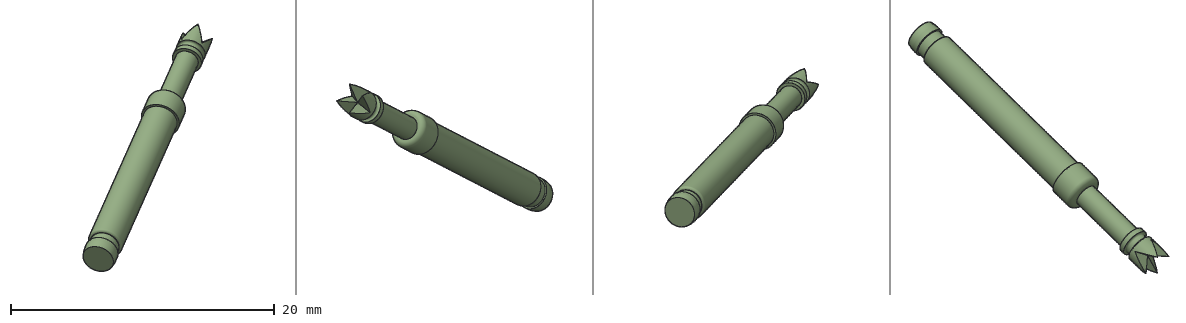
import cadquery as cq
import math

TOTAL_LENGTH = 27.3

FLANGE_RADIUS = 1.5
BARREL_RADIUS = 1.35
TAIL_RADIUS = 1.28
TAIL_END_RADIUS = 1.2
TAIL_NECK_RADIUS = 1.15
HEAD_RADIUS = 1.15
PLUNGER_RADIUS = 0.9

TAIL_TAPER_LENGTH = 0.6
TAIL_LENGTH = 1.0
TAIL_NECK_LENGTH = 0.76

CROWN_LENGTH = 2.0
HEAD_GROOVE_WIDTH = 0.6
COLLAR_LENGTH = 0.45
PLUNGER_EXPOSED_LENGTH = 5.25
FLANGE_LENGTH = 2.05

FLANGE_FILLET = 0.4
BARREL_END_FILLET = 0.22
GROOVE_ROOT_FILLET = 0.15

NOTCH_CENTER_DEPTH = 1.15
NOTCH_RIM_DEPTH = 1.67
TOOTH_COUNT = 4

NECK_END = TAIL_LENGTH + TAIL_NECK_LENGTH
CROWN_BASE = TOTAL_LENGTH - CROWN_LENGTH
COLLAR_TOP = CROWN_BASE - HEAD_GROOVE_WIDTH
COLLAR_BASE = COLLAR_TOP - COLLAR_LENGTH
FLANGE_TOP = COLLAR_BASE - PLUNGER_EXPOSED_LENGTH
FLANGE_BASE = FLANGE_TOP - FLANGE_LENGTH


def revolve_about_axis(outline):
    """Spin a closed half-outline (radius, Y) around the Y axis."""
    return outline.close().revolve(360, (0, 0, 0), (0, 1, 0))


def make_barrel():
    """Tail knob with a gently curved end, neck, barrel and rounded flange."""
    taper_drop = TAIL_RADIUS - TAIL_END_RADIUS
    taper_arc_radius = (TAIL_TAPER_LENGTH**2 + taper_drop**2) / (2 * taper_drop)
    outline = (
        cq.Workplane("XY")
        .lineTo(TAIL_END_RADIUS, 0)
        .radiusArc((TAIL_RADIUS, TAIL_TAPER_LENGTH), -taper_arc_radius)
        .lineTo(TAIL_RADIUS, TAIL_LENGTH)
        .lineTo(TAIL_NECK_RADIUS, TAIL_LENGTH)
        .lineTo(TAIL_NECK_RADIUS, NECK_END)
        .lineTo(BARREL_RADIUS - BARREL_END_FILLET, NECK_END)
        .radiusArc((BARREL_RADIUS, NECK_END + BARREL_END_FILLET), -BARREL_END_FILLET)
        .lineTo(BARREL_RADIUS, FLANGE_BASE)
        .lineTo(FLANGE_RADIUS, FLANGE_BASE)
        .lineTo(FLANGE_RADIUS, FLANGE_TOP - FLANGE_FILLET)
        .radiusArc((FLANGE_RADIUS - FLANGE_FILLET, FLANGE_TOP), -FLANGE_FILLET)
        .lineTo(0, FLANGE_TOP)
    )
    return revolve_about_axis(outline)


def make_plunger():
    """Plunger stem, collar, groove with rounded roots and the plain crown blank."""
    root_radius = PLUNGER_RADIUS + GROOVE_ROOT_FILLET
    outline = (
        cq.Workplane("XY")
        .moveTo(0, FLANGE_BASE)
        .lineTo(PLUNGER_RADIUS, FLANGE_BASE)
        .lineTo(PLUNGER_RADIUS, COLLAR_BASE)
        .lineTo(HEAD_RADIUS, COLLAR_BASE)
        .lineTo(HEAD_RADIUS, COLLAR_TOP)
        .lineTo(root_radius, COLLAR_TOP)
        .radiusArc((PLUNGER_RADIUS, COLLAR_TOP + GROOVE_ROOT_FILLET), GROOVE_ROOT_FILLET)
        .lineTo(PLUNGER_RADIUS, CROWN_BASE - GROOVE_ROOT_FILLET)
        .radiusArc((root_radius, CROWN_BASE), GROOVE_ROOT_FILLET)
        .lineTo(HEAD_RADIUS, CROWN_BASE)
        .lineTo(HEAD_RADIUS, TOTAL_LENGTH)
        .lineTo(0, TOTAL_LENGTH)
    )
    return revolve_about_axis(outline)


def make_crown_notch():
    """V-shaped cutter along +X whose floor falls away from the axis towards the rim."""
    floor_slope = (NOTCH_RIM_DEPTH - NOTCH_CENTER_DEPTH) / HEAD_RADIUS
    floor_tilt = math.atan(floor_slope)
    tip_offset = HEAD_RADIUS * math.cos(math.pi / TOOTH_COUNT)
    tip_height = (NOTCH_CENTER_DEPTH + floor_slope * tip_offset) * math.cos(floor_tilt)
    reach = 3 * HEAD_RADIUS
    half_width = reach * tip_offset / tip_height
    floor_y = TOTAL_LENGTH - NOTCH_CENTER_DEPTH
    return (
        cq.Workplane("YZ")
        .moveTo(floor_y, 0)
        .lineTo(floor_y + reach, half_width)
        .lineTo(floor_y + reach, -half_width)
        .close()
        .extrude(reach, both=True)
        .rotate((0, floor_y, 0), (0, floor_y, 1), -math.degrees(floor_tilt))
    )


result = make_barrel().union(make_plunger())

notch = make_crown_notch()
tooth_pitch = 360 / TOOTH_COUNT
for index in range(TOOTH_COUNT):
    notch_angle = (index + 0.5) * tooth_pitch
    result = result.cut(notch.rotate((0, 0, 0), (0, 1, 0), notch_angle))